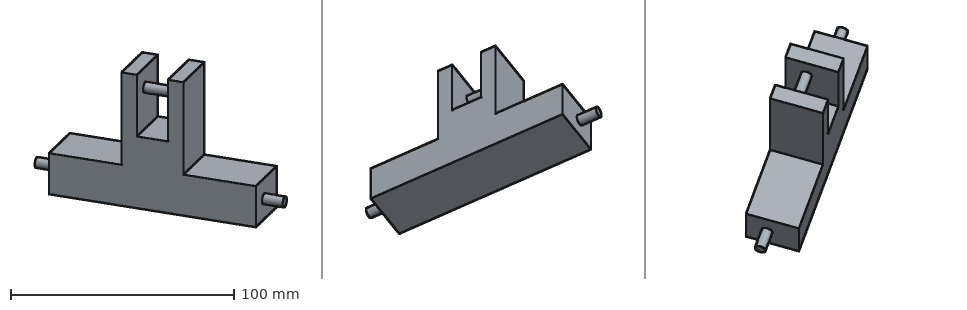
import cadquery as cq

overall_length = 120.0
end_pin_length = 10.0
bar_length = overall_length - 2 * end_pin_length
depth = 25.0
bar_height = 20.0

overall_height = 65.0
fork_width = 30.0
slot_width = 15.0
slot_depth = 30.0

pin_diameter = 5.0
pin_y = 10.0
end_pin_z = bar_height / 2
cross_pin_drop = 10.0
cross_pin_z = overall_height - cross_pin_drop


def centered_block(length, height, bottom):
    """Block over the full depth, centered along X, with its front face at Y = 0."""
    block = cq.Workplane("XY").box(length, depth, height, centered=(True, False, False))
    return block.translate((0, 0, bottom))


def pin_along_x(length, z):
    """Round pin centered along X at the common pin depth."""
    return cq.Workplane("YZ").center(pin_y, z).circle(pin_diameter / 2).extrude(length / 2, both=True)


bar = centered_block(bar_length, bar_height, 0)
fork = centered_block(fork_width, overall_height, 0)
slot = centered_block(slot_width, slot_depth, overall_height - slot_depth)

result = (
    bar.union(fork)
    .cut(slot)
    .union(pin_along_x(overall_length, end_pin_z))
    .union(pin_along_x(fork_width, cross_pin_z))
)